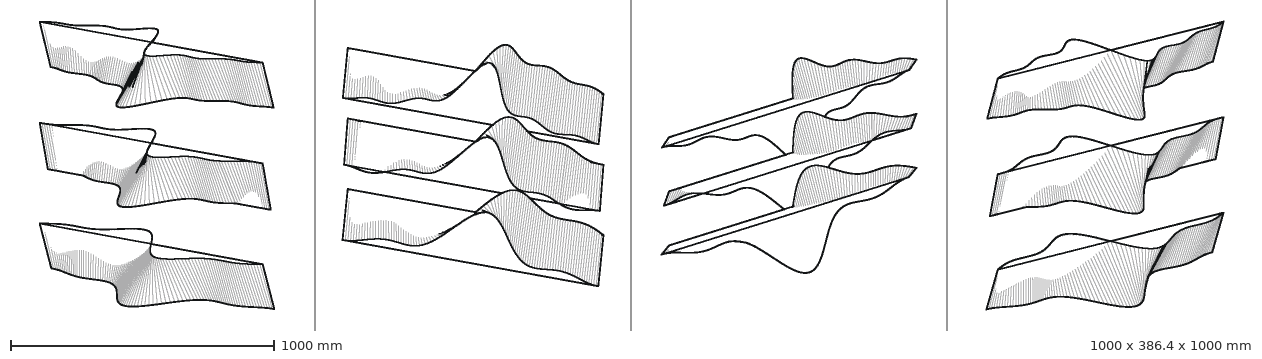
import cadquery as cq
import math

panel_length = 1000.0
panel_height = 200.0
panel_pitch = 400.0
panel_terms = [3, 4, 5]

wave_size = 100.0
strip_count = 100
on_back = 1e-05


def sine_wave(angle, terms):
    """Sawtooth-like wave: it crosses zero at mid-length and at both ends."""
    return -wave_size * sum(math.sin(k * angle) / k for k in range(1, terms + 1))


def cosine_wave(angle, terms):
    """Peaked wave: its harmonics add up at mid-length and its two ends are level."""
    return -wave_size * sum(math.cos(k * angle) / k for k in range(1, terms + 1))


def wave_outline(wave, terms, z):
    """Points of one full wave period at height z, evenly spaced along the panel length."""
    outline = []
    for i in range(strip_count + 1):
        fraction = i / strip_count - 0.5
        y = wave(2 * math.pi * fraction, terms)
        outline.append(cq.Vector(fraction * panel_length, y, z))
    return outline


def split_at_back(base, top):
    """Add a ruling to both outlines wherever a base strip runs through the straight back."""
    back_y = base[0].y
    split_base = [base[0]]
    split_top = [top[0]]
    for i in range(strip_count):
        before = base[i].y - back_y
        after = base[i + 1].y - back_y
        if before * after < 0 and min(abs(before), abs(after)) > on_back:
            share = before / (before - after)
            split_base.append(base[i] + (base[i + 1] - base[i]) * share)
            split_top.append(top[i] + (top[i + 1] - top[i]) * share)
        split_base.append(base[i + 1])
        split_top.append(top[i + 1])
    return split_base, split_top


def back_contacts(outline):
    """Indices of the outline points that lie on the straight line between its ends."""
    return [i for i, point in enumerate(outline) if abs(point.y - outline[0].y) < on_back]


def flat_face(points):
    return cq.Face.makeFromWires(cq.Wire.makePolygon(points, close=True))


def end_faces(outline):
    """Flat lobes between the wave and the straight back, one from each contact to the next."""
    contacts = back_contacts(outline)
    return [flat_face(outline[a : b + 1]) for a, b in zip(contacts, contacts[1:])]


def wave_faces(base, top):
    """Ruled strips that join the base wave to the top wave."""
    strips = []
    for i in range(len(base) - 1):
        base_edge = cq.Edge.makeLine(base[i], base[i + 1])
        top_edge = cq.Edge.makeLine(top[i], top[i + 1])
        strips.append(cq.Face.makeRuledSurface(base_edge, top_edge))
    return strips


def back_face(base, top):
    """Flat sloping back, with corners where the wave outlines touch it."""
    base_points = [base[i] for i in back_contacts(base)]
    top_points = [top[i] for i in back_contacts(top)]
    return flat_face(base_points + top_points[::-1])


def make_panel(terms, base_z):
    """Panel whose front twists from a cosine wave at the base to a sine wave at the top."""
    base, top = split_at_back(
        wave_outline(cosine_wave, terms, base_z),
        wave_outline(sine_wave, terms, base_z + panel_height),
    )
    faces = wave_faces(base, top) + end_faces(base) + end_faces(top) + [back_face(base, top)]
    solid = cq.Solid.makeSolid(cq.Shell.makeShell(faces))
    return solid if solid.Volume() > 0 else cq.Solid(solid.wrapped.Reversed())


panels = [make_panel(terms, level * panel_pitch) for level, terms in enumerate(panel_terms)]

result = cq.Compound.makeCompound(panels)